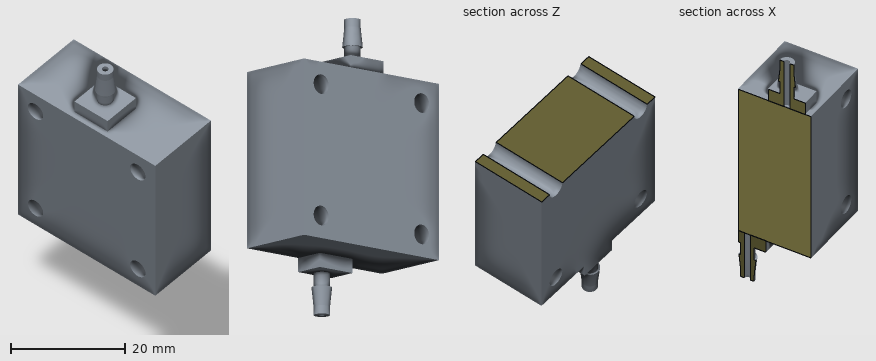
import cadquery as cq

BLOCK_SIDE = 31.5
BLOCK_DEPTH = 15.0
HOLE_DIAMETER = 3.5
HOLE_SPACING = 23.5

OVERALL_HEIGHT = 51.5
FITTING_HEIGHT = (OVERALL_HEIGHT - BLOCK_SIDE) / 2
FLANGE_SIDE = 7.6
FLANGE_THICKNESS = 2.5
STEM_RADIUS = 2.9 / 2
BARB_RADIUS = 3.6 / 2
BORE_RADIUS = 1.2 / 2
NECK_LENGTH = 2.5
TIP_LENGTH = 1.5

TOP_AXIS_FROM_FRONT = 5.0
BOTTOM_AXIS_FROM_BACK = 1.9
TOP_AXIS_Y = -BLOCK_DEPTH / 2 + TOP_AXIS_FROM_FRONT
BOTTOM_AXIS_Y = BLOCK_DEPTH / 2 - BOTTOM_AXIS_FROM_BACK


def make_housing():
    """Square block with four mounting holes running through along Y."""
    return (
        cq.Workplane("XY")
        .box(BLOCK_SIDE, BLOCK_DEPTH, BLOCK_SIDE)
        .faces("<Y")
        .workplane(centerOption="CenterOfBoundBox")
        .rect(HOLE_SPACING, HOLE_SPACING, forConstruction=True)
        .vertices()
        .hole(HOLE_DIAMETER)
    )


def make_fitting(back_reach):
    """Upright barbed fitting seated on z = 0; back_reach is the flange extent in +Y from the axis."""
    front_reach = FLANGE_SIDE / 2
    flange = (
        cq.Workplane("XY")
        .center(0, (back_reach - front_reach) / 2)
        .rect(FLANGE_SIDE, front_reach + back_reach)
        .extrude(FLANGE_THICKNESS)
    )
    barb_base = FLANGE_THICKNESS + NECK_LENGTH
    barb_end = FITTING_HEIGHT - TIP_LENGTH
    barbed_stem = (
        cq.Workplane("XZ")
        .moveTo(0, 0)
        .lineTo(STEM_RADIUS, 0)
        .lineTo(STEM_RADIUS, barb_base)
        .lineTo(BARB_RADIUS, barb_base)
        .lineTo(STEM_RADIUS, barb_end)
        .lineTo(STEM_RADIUS, FITTING_HEIGHT)
        .lineTo(0, FITTING_HEIGHT)
        .close()
        .revolve(360, (0, 0, 0), (0, 1, 0))
    )
    bore = cq.Workplane("XY").circle(BORE_RADIUS).extrude(FITTING_HEIGHT)
    return flange.union(barbed_stem).cut(bore)


housing = make_housing()

top_fitting = make_fitting(FLANGE_SIDE / 2).translate((0, TOP_AXIS_Y, BLOCK_SIDE / 2))

bottom_fitting = (
    make_fitting(BOTTOM_AXIS_FROM_BACK)
    .mirror("XY")
    .translate((0, BOTTOM_AXIS_Y, -BLOCK_SIDE / 2))
)

result = cq.Compound.makeCompound([housing.val(), top_fitting.val(), bottom_fitting.val()])